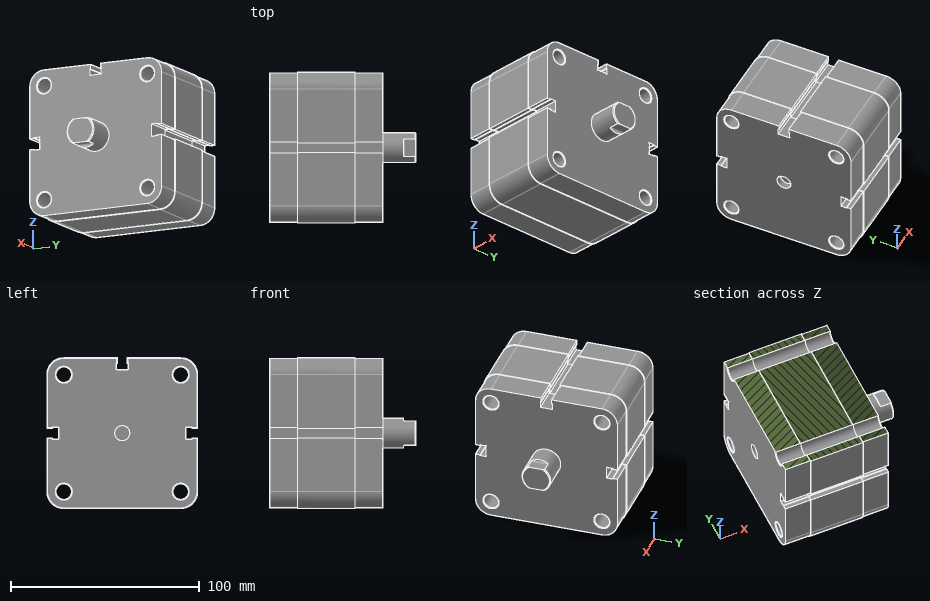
import cadquery as cq


BODY_LENGTH = 60.0
COVER_LENGTH = 14.75
BARREL_LENGTH = BODY_LENGTH - 2 * COVER_LENGTH
ROD_PROJECTION = 17.5

BARREL_SIZE = 80.0
COVER_INSET = 0.35
COVER_SIZE = BARREL_SIZE - 2 * COVER_INSET
BARREL_CORNER_RADIUS = 9.0
COVER_CORNER_RADIUS = BARREL_CORNER_RADIUS - COVER_INSET

HOLE_OFFSET = BARREL_SIZE / 2 - BARREL_CORNER_RADIUS
HOLE_DIAMETER = 8.2
HOLE_CHAMFER = 0.4

SLOT_FLOOR = 33.7
SLOT_STEP = 37.0
BARREL_MOUTH_WIDTH = 5.2
BARREL_BASE_WIDTH = 6.0
COVER_SLOT_CLEARANCE = 0.35
SLOT_ANGLES = (-90, 0, 90)

CENTRING_DIAMETER = 8.0
CENTRING_DEPTH = 4.0

ROD_DIAMETER = 16.0
ROD_CHAMFER = 0.5
FLAT_SPACING = 13.0
FLAT_LENGTH = 6.5
FLAT_FILLET = 0.5


def box_from(x_start, length, width, z_bottom, z_top):
    """Box along X, centred on Y."""
    height = z_top - z_bottom
    box = cq.Workplane("XY").box(length, width, height, centered=(False, True, False))
    return box.translate((x_start, 0, z_bottom))


def slotted_block(x_start, length, size, corner_radius, slot_clearance):
    """Rounded square block with the three side slots and four corner holes."""
    section = cq.Workplane("YZ").workplane(offset=x_start)
    block = section.rect(size, size).extrude(length).edges("|X").fillet(corner_radius)

    mouth_width = BARREL_MOUTH_WIDTH + 2 * slot_clearance
    base_width = BARREL_BASE_WIDTH + 2 * slot_clearance
    mouth = box_from(x_start, length, mouth_width, SLOT_STEP, BARREL_SIZE / 2)
    base = box_from(x_start, length, base_width, SLOT_FLOOR, SLOT_STEP)
    slot = mouth.union(base)
    for angle in SLOT_ANGLES:
        block = block.cut(slot.rotate((0, 0, 0), (1, 0, 0), angle))

    hole_spacing = 2 * HOLE_OFFSET
    holes = (
        section.rect(hole_spacing, hole_spacing, forConstruction=True)
        .vertices()
        .circle(HOLE_DIAMETER / 2)
        .extrude(length)
    )
    return block.cut(holes)


def chamfer_holes(cover, face_selector):
    """Break the mounting hole edges on the outer face of a cover."""
    round_edges = cover.faces(face_selector).edges("%CIRCLE")
    hole_edges = round_edges.edges(cq.selectors.RadiusNthSelector(0))
    return hole_edges.chamfer(HOLE_CHAMFER)


def make_rear_cover():
    cover = slotted_block(0, COVER_LENGTH, COVER_SIZE, COVER_CORNER_RADIUS, COVER_SLOT_CLEARANCE)
    cover = chamfer_holes(cover, "<X")
    centring_hole = cq.Workplane("YZ").circle(CENTRING_DIAMETER / 2).extrude(CENTRING_DEPTH)
    return cover.cut(centring_hole)


def make_barrel():
    return slotted_block(COVER_LENGTH, BARREL_LENGTH, BARREL_SIZE, BARREL_CORNER_RADIUS, 0)


def make_front_cover():
    x_start = COVER_LENGTH + BARREL_LENGTH
    cover = slotted_block(x_start, COVER_LENGTH, COVER_SIZE, COVER_CORNER_RADIUS, COVER_SLOT_CLEARANCE)
    return chamfer_holes(cover, ">X")


def make_rod():
    """Rod standing on the front cover, with a chamfered tip and two flats that end in filleted shoulders."""
    rod = cq.Workplane("YZ").workplane(offset=BODY_LENGTH)
    rod = rod.circle(ROD_DIAMETER / 2).extrude(ROD_PROJECTION)
    rod = rod.faces(">X").edges().chamfer(ROD_CHAMFER)

    flat_start = BODY_LENGTH + ROD_PROJECTION - FLAT_LENGTH
    upper_cut = box_from(flat_start, FLAT_LENGTH, ROD_DIAMETER, FLAT_SPACING / 2, ROD_DIAMETER / 2)
    upper_cut = upper_cut.edges("<X and <Z").fillet(FLAT_FILLET)
    return rod.cut(upper_cut).cut(upper_cut.mirror("XY"))


rear_cover = make_rear_cover()
barrel = make_barrel()
front_cover = make_front_cover()
rod = make_rod()

result = cq.Compound.makeCompound([rear_cover.val(), barrel.val(), front_cover.val(), rod.val()])